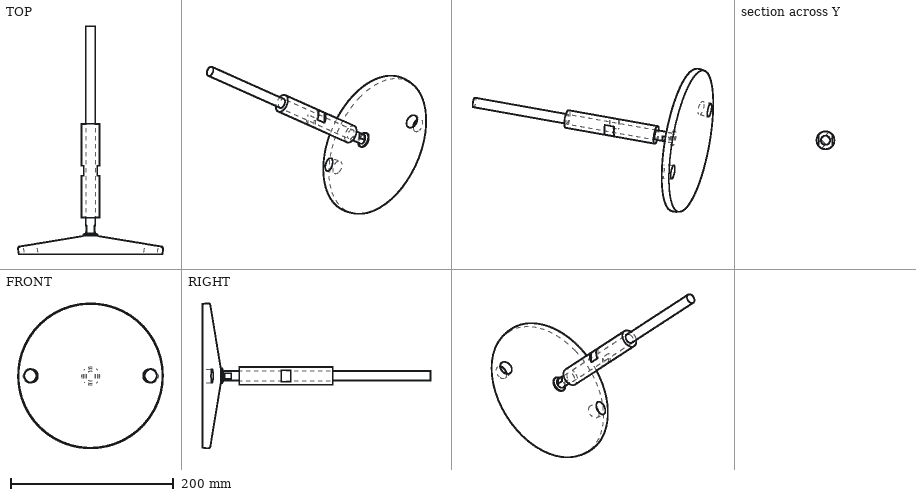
import cadquery as cq
import math

TOTAL_LENGTH = 280.0

FOOT_DIAMETER = 178.0
RIM_TAPER_HEIGHT = 4.5
RIM_TAPER = 0.8
RIM_TOP = 9.5
CONE_TOP = 22.7
CONE_TOP_DIAMETER = 18.2
RIM_FILLET = 2.8

HOLE_DIAMETER = 16.5
HOLE_RADIUS = 72.8
HOLE_REACH = 56.0

ROD_DIAMETER = 12.0
COLLAR_SHOULDER = 24.0
COLLAR_TOP = 25.8
SLEEVE_DIAMETER = 22.0
SLEEVE_BOTTOM = 45.0
SLEEVE_LENGTH = 115.0

SLEEVE_FLAT_WIDTH = 17.0
SLEEVE_FLAT_LENGTH = 12.0
ROD_FLAT_WIDTH = 10.0
ROD_FLAT_LENGTH = 8.0
ROD_FLAT_BOTTOM = 27.2

FOOT_RADIUS = FOOT_DIAMETER / 2
CONE_TOP_RADIUS = CONE_TOP_DIAMETER / 2
ROD_RADIUS = ROD_DIAMETER / 2
CONE_ANGLE = math.degrees(math.atan2(CONE_TOP - RIM_TOP, FOOT_RADIUS - CONE_TOP_RADIUS))


def cylinder(diameter, bottom, length):
    """Cylinder on the Y axis, rising from the given height."""
    circle = cq.Workplane("XZ", origin=(0, bottom, 0)).circle(diameter / 2)
    return circle.extrude(-length)


def revolve_profile(profile):
    """Turn a closed XY outline about the Y axis."""
    return profile.close().revolve(360, (0, 0, 0), (0, 1, 0))


def cut_flats(body, diameter, width, bottom, length):
    """Mill two opposite flats, facing -X and +X."""
    depth = (diameter - width) / 2
    for side in (-1, 1):
        cutter = cq.Workplane("XY").box(depth, length, diameter)
        cutter = cutter.translate((side * (width + depth) / 2, bottom + length / 2, 0))
        body = body.cut(cutter)
    return body


def drill_mounting_holes(body):
    """Cut two opposite holes that lean outward, square to the cone."""
    for side in (-1, 1):
        drill = cylinder(HOLE_DIAMETER, -HOLE_REACH, 2 * HOLE_REACH)
        drill = drill.rotate((0, 0, 0), (0, 0, 1), -side * CONE_ANGLE)
        body = body.cut(drill.translate((side * HOLE_RADIUS, 0, 0)))
    return body


def make_foot():
    profile = (
        cq.Workplane("XY")
        .lineTo(FOOT_RADIUS - RIM_TAPER, 0)
        .lineTo(FOOT_RADIUS, RIM_TAPER_HEIGHT)
        .lineTo(FOOT_RADIUS, RIM_TOP)
        .lineTo(CONE_TOP_RADIUS, CONE_TOP)
        .lineTo(0, CONE_TOP)
    )
    foot = revolve_profile(profile)
    rim = cq.selectors.BoxSelector(
        (-FOOT_DIAMETER, RIM_TOP - RIM_FILLET / 2, -FOOT_DIAMETER),
        (FOOT_DIAMETER, RIM_TOP + RIM_FILLET / 2, FOOT_DIAMETER),
    )
    foot = foot.edges(rim).fillet(RIM_FILLET)
    return drill_mounting_holes(foot)


def make_spindle():
    """Rod with a flared collar at its base and two wrench flats above it."""
    collar = revolve_profile(
        cq.Workplane("XY")
        .moveTo(0, CONE_TOP)
        .lineTo(CONE_TOP_RADIUS, CONE_TOP)
        .lineTo(CONE_TOP_RADIUS, COLLAR_SHOULDER)
        .lineTo(ROD_RADIUS, COLLAR_TOP)
        .lineTo(0, COLLAR_TOP)
    )
    rod = cylinder(ROD_DIAMETER, COLLAR_TOP, TOTAL_LENGTH - COLLAR_TOP)
    rod = cut_flats(rod, ROD_DIAMETER, ROD_FLAT_WIDTH, ROD_FLAT_BOTTOM, ROD_FLAT_LENGTH)
    return collar.union(rod)


def make_sleeve():
    """Sleeve that fits closely around the rod."""
    sleeve = cylinder(SLEEVE_DIAMETER, SLEEVE_BOTTOM, SLEEVE_LENGTH)
    flat_bottom = SLEEVE_BOTTOM + (SLEEVE_LENGTH - SLEEVE_FLAT_LENGTH) / 2
    sleeve = cut_flats(sleeve, SLEEVE_DIAMETER, SLEEVE_FLAT_WIDTH, flat_bottom, SLEEVE_FLAT_LENGTH)
    return sleeve.cut(cylinder(ROD_DIAMETER, SLEEVE_BOTTOM, SLEEVE_LENGTH))


foot = make_foot()
spindle = make_spindle()
sleeve = make_sleeve()

result = cq.Compound.makeCompound([foot.val(), spindle.val(), sleeve.val()])